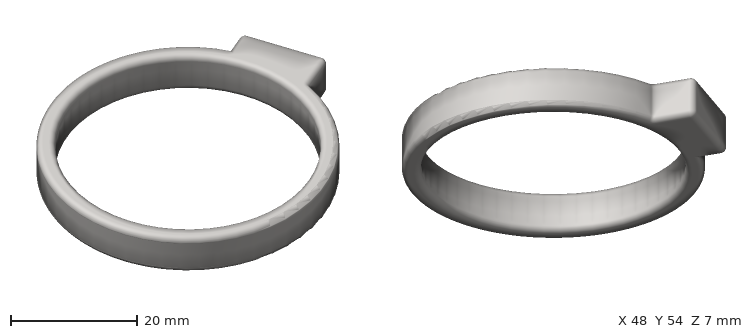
import cadquery as cq
import math

bore_diameter = 42.0
wall_thickness = 3.0
height = 7.0
edge_radius = 1.0
bore_radius = bore_diameter / 2
outer_radius = bore_radius + wall_thickness

block_angle = 27.0
block_width = 15.0
block_offset = 4.0
block_reach = 28.2
root_radius = 0.5

root_x = block_offset + block_width / 2
root_y = math.sqrt(outer_radius**2 - root_x**2)


def make_disc(radius):
    """Disc of the full height, centred on the ring axis and on Z = 0."""
    return cq.Workplane("XY").workplane(offset=-height / 2).circle(radius).extrude(height)


def make_block():
    """Block from the ring axis outwards, with its two outer upright corners rounded."""
    block = (
        cq.Workplane("XY")
        .center(block_offset, block_reach / 2)
        .box(block_width, block_reach, height)
    )
    return block.faces(">Y").edges("|Z").fillet(edge_radius)


def make_ring():
    """Ring and block in one piece, with all top and bottom edges rounded."""
    solid = make_disc(outer_radius).union(make_block())
    root_edge = cq.NearestToPointSelector((root_x, root_y, 0))
    solid = solid.edges("|Z").edges(root_edge).fillet(root_radius)
    solid = solid.cut(make_disc(bore_radius))
    solid = solid.faces("<Z or >Z").edges().fillet(edge_radius)
    return solid.rotate((0, 0, 0), (0, 0, 1), block_angle)


ring = make_ring()
result = cq.Compound.makeCompound([ring.val()])